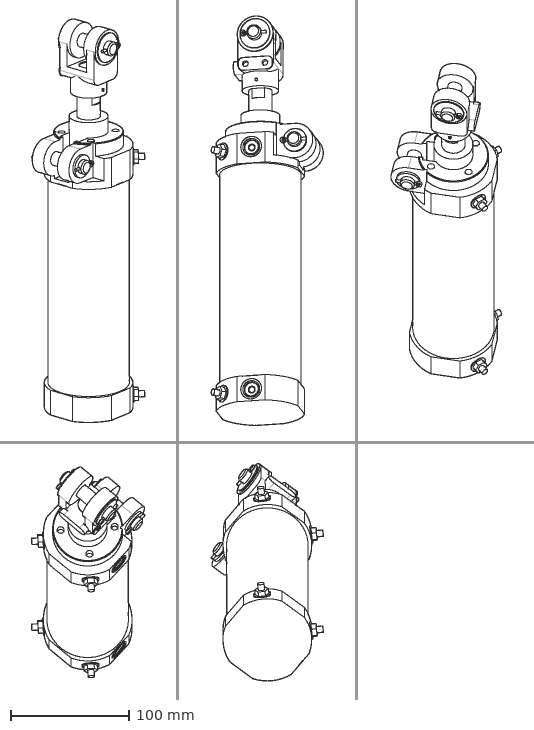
import cadquery as cq
import math


PIN_DIAMETER = 12.0
PIN_LENGTH = 54.5
PIN_CHAMFER = 1.5
LUG_INNER_X = 7.5
LUG_OUTER_X = 20.3
ROD_DIAMETER = 20.0
SPLIT_PIN_DIAMETER = 2.3

TUBE_DIAMETER = 69.0
COVER_DIAMETER = 75.0
COVER_ACROSS_FLATS = 71.0
REAR_COVER_HEIGHT = 22.5
FRONT_COVER_BOTTOM = 210.0
FRONT_COVER_TOP = 237.0
BOSS_DIAMETER = 59.3
BOSS_TOP = 248.7
BOSS_CHAMFER = 0.7
BUSH_DIAMETER = 33.0
BUSH_TOP = 262.5

HINGE_PIN_Y = -34.8
HINGE_PIN_Z = 232.2
HINGE_CUT_Y = -18.5
HINGE_RING_DIAMETER = 20.0
HINGE_RING_X = 22.5
SLOT_FLOOR_Z = 214.3
POCKET_HALF_WIDTH = 10.5
POCKET_FRONT_Y = -24.8
HINGE_LUG_RADIUS = 15.0

SCREW_HOLE_DIAMETER = 6.0
SCREW_HOLE_PITCH = 32.5
SCREW_HOLE_DEPTH = 7.0
PORT_HEIGHTS = (10.7, 224.5)
PORT_FACE_DIAMETER = 18.0
PORT_FACE_DEPTH = 0.5
PORT_MOUTH_DIAMETER = 14.5
PORT_MOUTH_DEPTH = 1.0
PORT_BORE_DIAMETER = 12.0
PORT_BORE_DEPTH = 2.5
PORT_STEP_DIAMETER = 6.0
PORT_STEP_DEPTH = 3.0
PORT_TIP_DIAMETER = 4.8
FITTING_SEAT_DIAMETER = 14.5
FITTING_SEAT_REACH = 38.0
FITTING_HEX_DIAMETER = 11.7
FITTING_HEX_REACH = 42.0
FITTING_TIP_DIAMETER = 5.5
FITTING_TIP_REACH = COVER_ACROSS_FLATS / 2 * math.sqrt(2) - FITTING_TIP_DIAMETER / 2
FITTING_ROOT = 29.3
FITTING_ANGLE = 45

TOTAL_HEIGHT = 344.5
ROD_BOTTOM = SLOT_FLOOR_Z
FORK_WIDTH = 31.0
FORK_PIN_Z = TOTAL_HEIGHT - FORK_WIDTH / 2
COLLAR_BOTTOM = 284.2
ROD_FLAT_HEIGHT = 8.5
ROD_ACROSS_FLATS = 17.0
FORK_BASE_BOTTOM = 297.3
FORK_FLOOR_Z = 308.5
FORK_BASE_FILLET = 6.2
ARM_INNER_X = 10.7
ARM_OUTER_X = 19.0
FORK_RING_DIAMETER = 26.0
FORK_RING_X = 21.5
FLOOR_RECESS_DIAMETER = 16.2
FLOOR_RECESS_DEPTH = 1.0
LOCK_PIN_DIAMETER = 2.3
LOCK_PIN_LENGTH = 32.5
LOCK_PIN_Z = 289.7
END_PLATE_X = 20.0
END_PLATE_CORNER = 4.0
END_PLATE_WIDTH = 29.5
END_HOLE_DIAMETER = 4.8
END_HOLE_PITCH = 17.0
END_HOLE_DEPTH = 3.5
BACK_STUB_LENGTH = 29.0
BACK_STUB_HEIGHT = FORK_FLOOR_Z - FORK_BASE_BOTTOM
BACK_STUB_Y = 20.3

SPLIT_PIN_X = 23.8
SPLIT_PIN_TAIL = 10.5
SPLIT_PIN_EYE_DIAMETER = 4.8
SPLIT_PIN_EYE_HOLE = 1.7
SPLIT_PIN_EYE_THICKNESS = 2.0
SPLIT_PIN_EYE_Y = 9.5


def disc(diameter, z_bottom, z_top):
    """Upright cylinder on the Z axis."""
    return cq.Workplane("XY").workplane(offset=z_bottom).circle(diameter / 2).extrude(z_top - z_bottom)


def box(x_range, y_range, z_range):
    """Box between two limits along each axis."""
    size = [high - low for low, high in (x_range, y_range, z_range)]
    corner = (x_range[0], y_range[0], z_range[0])
    return cq.Workplane("XY").box(*size, centered=False).translate(corner)


def x_cylinder(diameter, x_start, x_end, y, z):
    """Cylinder along X between two X positions."""
    round_end = cq.Workplane("YZ").workplane(offset=x_start).center(y, z).circle(diameter / 2)
    return round_end.extrude(x_end - x_start)


def both_sides(shape):
    """The shape together with its mirror image across the YZ plane."""
    return shape.union(shape.mirror("YZ"))


def cover(z_bottom, z_top):
    """Round cover with a flat on each of its four sides."""
    square = cq.Workplane("XY").workplane(offset=z_bottom).rect(COVER_ACROSS_FLATS, COVER_ACROSS_FLATS)
    return disc(COVER_DIAMETER, z_bottom, z_top).intersect(square.extrude(z_top - z_bottom))


def hinge_lug():
    """Front lug on the +X side, with its raised ring; flat above and below the pin, round at the front."""
    z_range = (HINGE_PIN_Z - HINGE_LUG_RADIUS, HINGE_PIN_Z + HINGE_LUG_RADIUS)
    lug = box((LUG_INNER_X, LUG_OUTER_X), (HINGE_PIN_Y, HINGE_CUT_Y), z_range)
    lug = lug.union(x_cylinder(2 * HINGE_LUG_RADIUS, LUG_INNER_X, LUG_OUTER_X, HINGE_PIN_Y, HINGE_PIN_Z))
    return lug.union(x_cylinder(HINGE_RING_DIAMETER, LUG_OUTER_X, HINGE_RING_X, HINGE_PIN_Y, HINGE_PIN_Z))


def front_cover():
    """Cover with its round boss, the hinge lugs in front and the slot between them."""
    body = cover(FRONT_COVER_BOTTOM, FRONT_COVER_TOP)
    boss = disc(BOSS_DIAMETER, FRONT_COVER_TOP, BOSS_TOP).faces(">Z").chamfer(BOSS_CHAMFER)
    body = body.union(boss)
    side_cut = box(
        (LUG_OUTER_X, COVER_DIAMETER),
        (-COVER_DIAMETER, HINGE_CUT_Y),
        (HINGE_PIN_Z - HINGE_LUG_RADIUS, BOSS_TOP),
    )
    slot = box((-LUG_INNER_X, LUG_INNER_X), (-COVER_DIAMETER, 0), (SLOT_FLOOR_Z, BOSS_TOP))
    pocket = box((-POCKET_HALF_WIDTH, POCKET_HALF_WIDTH), (POCKET_FRONT_Y, 0), (SLOT_FLOOR_Z, BOSS_TOP))
    body = body.cut(both_sides(side_cut)).union(both_sides(hinge_lug())).cut(slot).cut(pocket)
    body = body.union(disc(BUSH_DIAMETER, FRONT_COVER_BOTTOM, BUSH_TOP))
    screw_holes = (
        cq.Workplane("XY")
        .workplane(offset=BOSS_TOP)
        .rect(SCREW_HOLE_PITCH, SCREW_HOLE_PITCH, forConstruction=True)
        .vertices()
        .circle(SCREW_HOLE_DIAMETER / 2)
        .extrude(-SCREW_HOLE_DEPTH)
    )
    return body.cut(screw_holes)


def port(z):
    """Material removed for one port in the -X flat: sunk face, stepped bore and conical tip."""
    steps = (
        (PORT_FACE_DIAMETER / 2, 0),
        (PORT_FACE_DIAMETER / 2, PORT_FACE_DEPTH),
        (PORT_MOUTH_DIAMETER / 2, PORT_FACE_DEPTH),
        (PORT_MOUTH_DIAMETER / 2, PORT_MOUTH_DEPTH),
        (PORT_BORE_DIAMETER / 2, PORT_MOUTH_DEPTH),
        (PORT_BORE_DIAMETER / 2, PORT_BORE_DEPTH),
        (PORT_STEP_DIAMETER / 2, PORT_BORE_DEPTH),
        (PORT_STEP_DIAMETER / 2, PORT_STEP_DEPTH),
        (PORT_TIP_DIAMETER / 2, PORT_STEP_DEPTH),
        (0, PORT_STEP_DEPTH + PORT_TIP_DIAMETER / 2),
    )
    face_x = -COVER_ACROSS_FLATS / 2
    profile = cq.Workplane("XY").moveTo(face_x, 0)
    for radius, depth in steps:
        profile = profile.lineTo(face_x + depth, radius)
    return profile.close().revolve(360, (0, 0, 0), (1, 0, 0)).translate((0, 0, z))


def bleed_fitting(z):
    """Seat, hexagon and round tip pointing out between +X and +Y."""

    def section():
        return cq.Workplane("YZ").workplane(offset=FITTING_ROOT)

    fitting = section().circle(FITTING_SEAT_DIAMETER / 2).extrude(FITTING_SEAT_REACH - FITTING_ROOT)
    hexagon = section().polygon(6, FITTING_HEX_DIAMETER)
    fitting = fitting.union(hexagon.extrude(FITTING_HEX_REACH - FITTING_ROOT))
    tip = section().circle(FITTING_TIP_DIAMETER / 2)
    fitting = fitting.union(tip.extrude(FITTING_TIP_REACH - FITTING_ROOT))
    return fitting.rotate((0, 0, 0), (0, 0, 1), FITTING_ANGLE).translate((0, 0, z))


def make_housing():
    """Tube with both covers, ports and fittings, bored for the rod and the hinge pin."""
    body = disc(TUBE_DIAMETER, REAR_COVER_HEIGHT, FRONT_COVER_BOTTOM)
    body = body.union(cover(0, REAR_COVER_HEIGHT)).union(front_cover())
    for z in PORT_HEIGHTS:
        body = body.cut(port(z)).union(both_sides(bleed_fitting(z)))
    body = body.cut(disc(ROD_DIAMETER, ROD_BOTTOM, BUSH_TOP))
    return body.cut(x_cylinder(PIN_DIAMETER, -HINGE_RING_X, HINGE_RING_X, HINGE_PIN_Y, HINGE_PIN_Z))


def rod():
    """Piston rod with two wrench flats just below the fork collar."""
    body = disc(ROD_DIAMETER, ROD_BOTTOM, COLLAR_BOTTOM)
    flat_cut = box(
        (ROD_ACROSS_FLATS / 2, ROD_DIAMETER),
        (-ROD_DIAMETER, ROD_DIAMETER),
        (COLLAR_BOTTOM - ROD_FLAT_HEIGHT, COLLAR_BOTTOM),
    )
    return body.cut(both_sides(flat_cut))


def fork_arm():
    """Arm on the +X side, with the round eye and its raised ring."""
    half_width = FORK_WIDTH / 2
    arm = box((ARM_INNER_X, ARM_OUTER_X), (-half_width, half_width), (FORK_FLOOR_Z, FORK_PIN_Z))
    arm = arm.union(x_cylinder(FORK_WIDTH, LUG_INNER_X, LUG_OUTER_X, 0, FORK_PIN_Z))
    return arm.union(x_cylinder(FORK_RING_DIAMETER, LUG_OUTER_X, FORK_RING_X, 0, FORK_PIN_Z))


def end_plate():
    """Thin plate on the -X end of the fork base, rounded at its corners."""
    height = FORK_FLOOR_Z - FORK_BASE_BOTTOM
    plate = cq.Workplane("YZ").workplane(offset=-END_PLATE_X)
    plate = plate.center(0, FORK_BASE_BOTTOM + height / 2).rect(END_PLATE_WIDTH, height)
    return plate.extrude(END_PLATE_X - ARM_OUTER_X).edges("|X").fillet(END_PLATE_CORNER)


def make_rod_with_fork():
    """Rod, collar and fork, with the end plate, the rear stub and the lock pin ends."""
    half_width = FORK_WIDTH / 2
    base_middle_z = (FORK_BASE_BOTTOM + FORK_FLOOR_Z) / 2
    base = box((-ARM_OUTER_X, ARM_OUTER_X), (-half_width, half_width), (FORK_BASE_BOTTOM, FORK_FLOOR_Z))
    base = base.edges("|X and <Z").fillet(FORK_BASE_FILLET)
    body = rod().union(disc(FORK_WIDTH, COLLAR_BOTTOM, FORK_FLOOR_Z)).union(base)
    body = body.union(both_sides(fork_arm())).union(end_plate())

    stub = cq.Workplane("XZ").center(0, base_middle_z).slot2D(BACK_STUB_LENGTH, BACK_STUB_HEIGHT)
    body = body.union(stub.extrude(-BACK_STUB_Y))
    body = body.union(x_cylinder(LOCK_PIN_DIAMETER, -LOCK_PIN_LENGTH / 2, LOCK_PIN_LENGTH / 2, 0, LOCK_PIN_Z))

    body = body.cut(disc(FLOOR_RECESS_DIAMETER, FORK_FLOOR_Z - FLOOR_RECESS_DEPTH, FORK_FLOOR_Z))
    for y in (-END_HOLE_PITCH / 2, END_HOLE_PITCH / 2):
        hole_end = END_HOLE_DEPTH - END_PLATE_X
        body = body.cut(x_cylinder(END_HOLE_DIAMETER, -END_PLATE_X, hole_end, y, base_middle_z))
    return body.cut(x_cylinder(PIN_DIAMETER, -FORK_RING_X, FORK_RING_X, 0, FORK_PIN_Z))


def make_hinge_pin(y, z):
    """Pin along X with chamfered ends and a cross hole near each end."""
    pin = x_cylinder(PIN_DIAMETER, -PIN_LENGTH / 2, PIN_LENGTH / 2, y, z)
    pin = pin.faces("<X or >X").chamfer(PIN_CHAMFER)
    for x in (-SPLIT_PIN_X, SPLIT_PIN_X):
        cross_hole = cq.Workplane("XZ", origin=(x, y, z)).circle(SPLIT_PIN_DIAMETER / 2)
        pin = pin.cut(cross_hole.extrude(PIN_DIAMETER, both=True))
    return pin


def make_split_pin(x, y, z):
    """Split pin along Y: a round shank with a flat ring eye at its +Y end."""
    shank = cq.Workplane("XZ", origin=(0, SPLIT_PIN_EYE_Y, 0)).circle(SPLIT_PIN_DIAMETER / 2)
    shank = shank.extrude(SPLIT_PIN_EYE_Y + SPLIT_PIN_TAIL)
    half_thickness = SPLIT_PIN_EYE_THICKNESS / 2
    eye = x_cylinder(SPLIT_PIN_EYE_DIAMETER, -half_thickness, half_thickness, SPLIT_PIN_EYE_Y, 0)
    eye_hole = x_cylinder(SPLIT_PIN_EYE_HOLE, -SPLIT_PIN_DIAMETER, SPLIT_PIN_DIAMETER, SPLIT_PIN_EYE_Y, 0)
    return shank.union(eye).cut(eye_hole).translate((x, y, z))


housing = make_housing()
rod_with_fork = make_rod_with_fork()

hinge_pins = []
split_pins = []
for pin_y, pin_z in ((HINGE_PIN_Y, HINGE_PIN_Z), (0, FORK_PIN_Z)):
    hinge_pins.append(make_hinge_pin(pin_y, pin_z).val())
    for end_x in (-SPLIT_PIN_X, SPLIT_PIN_X):
        split_pins.append(make_split_pin(end_x, pin_y, pin_z).val())

result = cq.Compound.makeCompound([housing.val(), rod_with_fork.val(), *hinge_pins, *split_pins])